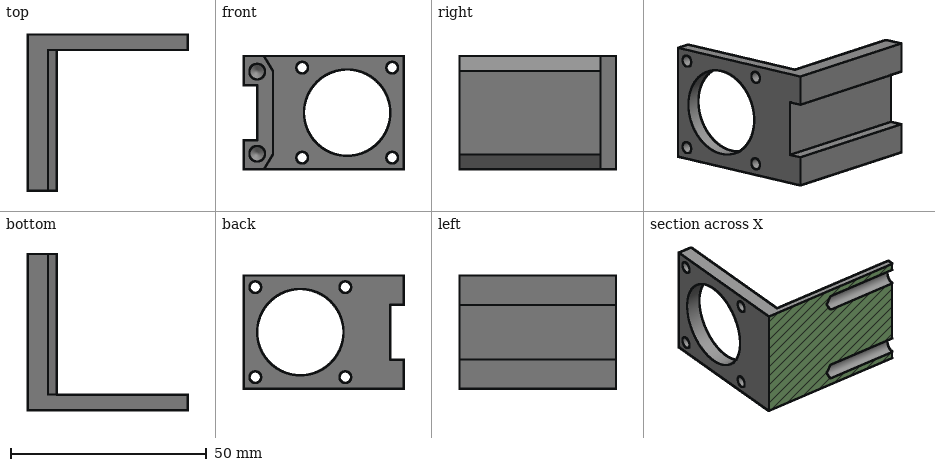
import cadquery as cq
import math

length_x = 41.0
depth_y = 40.0
height_z = 29.0
mid_z = height_z / 2

plate_thickness = 4.0
plate_front_y = depth_y - plate_thickness
bore_diameter = 22.0
bore_x = 26.5
mount_hole_diameter = 2.9
mount_hole_pitch = 23.0

rail_width = 7.5
rail_edge_width = 5.2
rail_bevel_height = 3.8
channel_depth = 3.5
channel_height = 14.0

end_hole_diameter = 4.0
end_hole_pitch = 21.0
end_hole_x = channel_depth
end_hole_depth = 20.0
drill_point_angle = 118


def make_plate():
    """Flat plate across the back of the bracket."""
    return cq.Workplane("XY").box(
        length_x, plate_thickness, height_z, centered=False
    ).translate((0, plate_front_y, 0))


def make_rail():
    """Rail running along Y, bevelled on its inner edges."""
    profile = [
        (0, 0),
        (rail_edge_width, 0),
        (rail_width, rail_bevel_height),
        (rail_width, height_z - rail_bevel_height),
        (rail_edge_width, height_z),
        (0, height_z),
    ]
    return cq.Workplane("XZ").polyline(profile).close().extrude(-depth_y)


def make_channel():
    """Rectangular channel through the full depth of the bracket."""
    return cq.Workplane("XY").box(
        channel_depth, depth_y, channel_height, centered=False
    ).translate((0, 0, mid_z - channel_height / 2))


def cut_plate_holes(body):
    """Large bore with four mounting holes around it."""
    face = cq.Workplane("XZ", origin=(bore_x, depth_y, mid_z))
    bore = face.circle(bore_diameter / 2).extrude(plate_thickness)
    mount_holes = (
        face.rect(mount_hole_pitch, mount_hole_pitch, forConstruction=True)
        .vertices()
        .circle(mount_hole_diameter / 2)
        .extrude(plate_thickness)
    )
    return body.cut(bore).cut(mount_holes)


def make_end_hole(z):
    """Drilled blind hole with a conical bottom, entering from the front."""
    radius = end_hole_diameter / 2
    start = cq.Vector(end_hole_x, 0, z)
    into_rail = cq.Vector(0, 1, 0)
    shaft = cq.Solid.makeCylinder(radius, end_hole_depth, start, into_rail)
    point_length = radius / math.tan(math.radians(drill_point_angle / 2))
    point_start = start + into_rail * end_hole_depth
    point = cq.Solid.makeCone(radius, 0, point_length, point_start, into_rail)
    return shaft.fuse(point)


bracket = make_plate().union(make_rail()).cut(make_channel())
bracket = cut_plate_holes(bracket)
for side in (-1, 1):
    bracket = bracket.cut(cq.Workplane(make_end_hole(mid_z + side * end_hole_pitch / 2)))

result = bracket